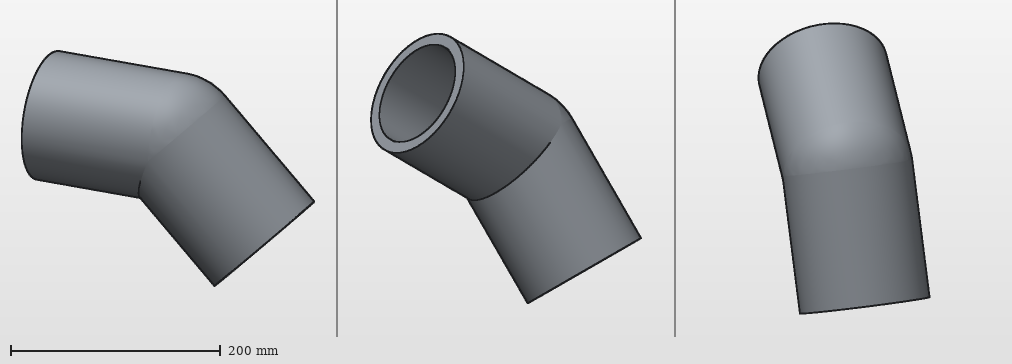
import cadquery as cq
import math

outer_diameter = 125.0
bore_diameter = 102.2
leg_length = 132.5
bend_angle = 45.0

bend_centre = cq.Vector(0, 0, 0)
inlet_direction = cq.Vector(-1, 0, 0)
outlet_direction = cq.Vector(
    math.cos(math.radians(bend_angle)), 0, -math.sin(math.radians(bend_angle))
)


def leg(radius, direction):
    """Solid cylinder from the bend centre to one open end."""
    return cq.Solid.makeCylinder(radius, leg_length, bend_centre, direction)


def elbow(diameter):
    """Solid elbow: both legs plus the sphere that rounds the outside of the bend."""
    radius = diameter / 2
    knuckle = cq.Workplane("XY").sphere(radius)
    return knuckle.union(leg(radius, inlet_direction)).union(leg(radius, outlet_direction))


result = elbow(outer_diameter).cut(elbow(bore_diameter))